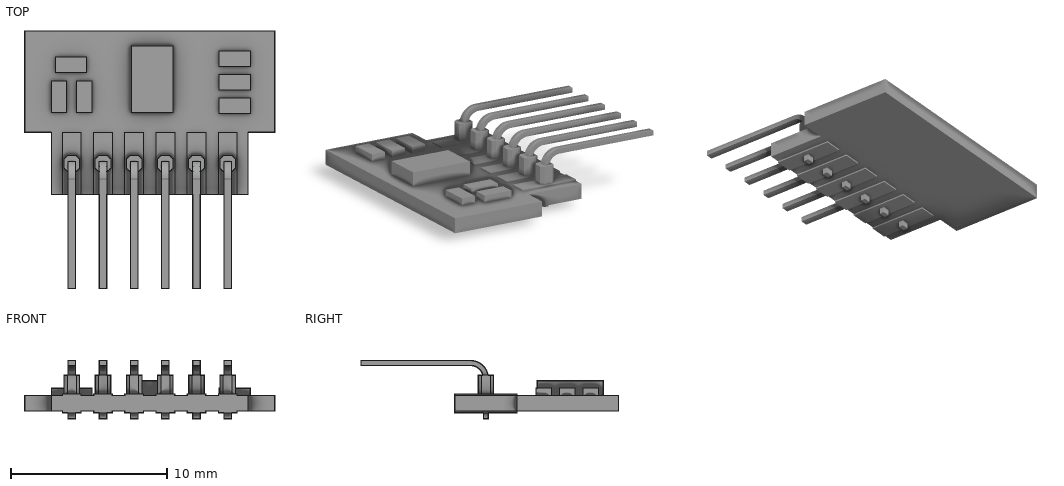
import cadquery as cq

BOARD_WIDTH = 16.0
BOARD_LENGTH = 6.5
BOARD_THICKNESS = 1.0
TAB_WIDTH = 12.6
TAB_LENGTH = 4.0

CONTACT_COUNT = 6
CONTACT_PITCH = 2.0
PAD_WIDTH = 1.2
PAD_THICKNESS = 0.1
COLLAR_SIZE = 1.0
COLLAR_CHAMFER = 0.21
COLLAR_HEIGHT = 1.2

PIN_WIDTH = 0.5
PIN_THICKNESS = 0.33
PIN_TAIL = 0.4
PIN_RISE = 0.94
PIN_BEND_RADIUS = 0.82
PART_LENGTH = 16.5

CHIP_LENGTH = 2.0
CHIP_WIDTH = 0.99
CHIP_HEIGHT = 0.48
IC_WIDTH = 2.65
IC_LENGTH = 4.24
IC_HEIGHT = 0.95
IC_CENTER = (0.15, 3.4)
UPPER_CHIP_CENTER = (-5.03, 4.32)
PAIR_CHIP_CENTERS = [(-5.8, 2.28), (-4.19, 2.28)]
COLUMN_CHIP_X = 5.45
COLUMN_CHIP_Y = 3.2
COLUMN_CHIP_PITCH = 1.5

TAB_CENTER_Y = -TAB_LENGTH / 2
PIN_TIP_Y = BOARD_LENGTH - PART_LENGTH
COLLAR_TOP = PAD_THICKNESS + COLLAR_HEIGHT
PIN_TOP = COLLAR_TOP + PIN_RISE
PIN_BOTTOM = -BOARD_THICKNESS - PAD_THICKNESS - PIN_TAIL


def block(width, length, height, center, bottom=0.0):
    """Box centred on an XY point and standing on the level `bottom`."""
    box = cq.Workplane("XY").box(width, length, height, centered=(True, True, False))
    return box.translate((center[0], center[1], bottom))


def make_board():
    body = block(BOARD_WIDTH, BOARD_LENGTH, BOARD_THICKNESS, (0, BOARD_LENGTH / 2), -BOARD_THICKNESS)
    tab = block(TAB_WIDTH, TAB_LENGTH, BOARD_THICKNESS, (0, TAB_CENTER_Y), -BOARD_THICKNESS)
    return body.union(tab)


def make_pads(x):
    """Contact strip as one slab through the tab, standing proud on both faces."""
    slab_height = BOARD_THICKNESS + 2 * PAD_THICKNESS
    return block(PAD_WIDTH, TAB_LENGTH, slab_height, (x, TAB_CENTER_Y), -BOARD_THICKNESS - PAD_THICKNESS)


def make_collar(x):
    collar = block(COLLAR_SIZE, COLLAR_SIZE, COLLAR_HEIGHT, (x, TAB_CENTER_Y), PAD_THICKNESS)
    return collar.edges("|Z").chamfer(COLLAR_CHAMFER)


def make_pin(x):
    """Flat pin rising through the tab and bending over towards -Y."""
    outer_radius = PIN_BEND_RADIUS + PIN_THICKNESS
    back_y = TAB_CENTER_Y + PIN_THICKNESS / 2
    front_y = back_y - PIN_THICKNESS
    bend_y = back_y - outer_radius
    bend_z = PIN_TOP - outer_radius
    profile = (
        cq.Workplane("YZ", origin=(x, 0, 0))
        .moveTo(back_y, PIN_BOTTOM)
        .lineTo(back_y, bend_z)
        .tangentArcPoint((bend_y, PIN_TOP), relative=False)
        .lineTo(PIN_TIP_Y, PIN_TOP)
        .lineTo(PIN_TIP_Y, PIN_TOP - PIN_THICKNESS)
        .lineTo(bend_y, PIN_TOP - PIN_THICKNESS)
        .tangentArcPoint((front_y, bend_z), relative=False)
        .lineTo(front_y, PIN_BOTTOM)
        .close()
    )
    return profile.extrude(PIN_WIDTH / 2, both=True)


def make_components():
    parts = block(IC_WIDTH, IC_LENGTH, IC_HEIGHT, IC_CENTER)
    parts = parts.union(block(CHIP_LENGTH, CHIP_WIDTH, CHIP_HEIGHT, UPPER_CHIP_CENTER))
    for center in PAIR_CHIP_CENTERS:
        parts = parts.union(block(CHIP_WIDTH, CHIP_LENGTH, CHIP_HEIGHT, center))
    for row in (-1, 0, 1):
        center = (COLUMN_CHIP_X, COLUMN_CHIP_Y + row * COLUMN_CHIP_PITCH)
        parts = parts.union(block(CHIP_LENGTH, CHIP_WIDTH, CHIP_HEIGHT, center))
    return parts


result = make_board().union(make_components())
for index in range(CONTACT_COUNT):
    contact_x = (index - (CONTACT_COUNT - 1) / 2) * CONTACT_PITCH
    result = result.union(make_pads(contact_x))
    result = result.union(make_collar(contact_x))
    result = result.union(make_pin(contact_x))